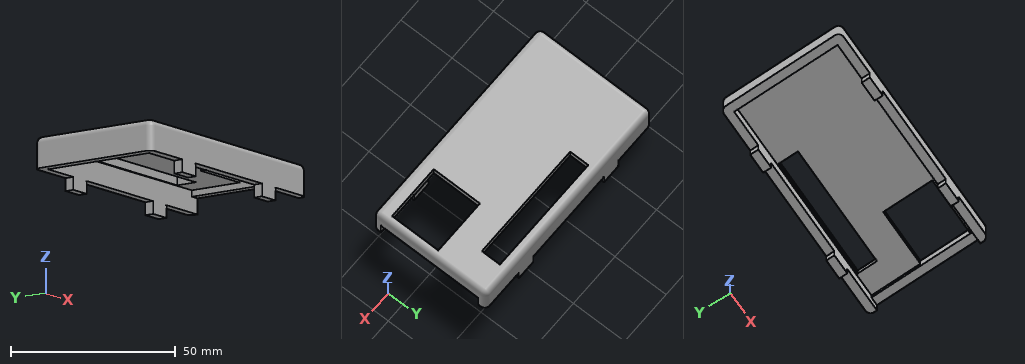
import cadquery as cq

length = 80.0
width = 44.0
body_height = 10.0
edge_radius = 2.0

wall = 3.0
roof = 3.0
inner_length = length - 2 * wall
inner_width = width - 2 * wall

foot_length = 7.0
foot_height = 4.0
foot_spacing = 41.0

slot_length = 42.5
slot_width = 7.0
slot_center_x = 7.6
slot_edge_gap = 3.5

window_length = 20.0
window_width = 18.0
window_edge_gap = 5.0

side_opening_height = 5.0


def block(x_min, y_min, z_min, x_size, y_size, z_size):
    """Box placed by its lowest corner."""
    box = cq.Workplane("XY").box(x_size, y_size, z_size, centered=False)
    return box.translate((x_min, y_min, z_min))


def make_shell():
    centered = (True, True, False)
    shell = cq.Workplane("XY").box(length, width, body_height, centered=centered)
    shell = shell.edges("|Z").fillet(edge_radius)
    shell = shell.faces(">Z").edges().fillet(edge_radius)
    cavity = cq.Workplane("XY").box(inner_length, inner_width, body_height - roof, centered=centered)
    return shell.cut(cavity)


def make_slot():
    x_min = slot_center_x - slot_length / 2
    y_min = width / 2 - slot_edge_gap - slot_width
    return block(x_min, y_min, body_height - roof, slot_length, slot_width, roof)


def make_window():
    x_min = inner_length / 2 - window_length
    y_min = -width / 2 + window_edge_gap
    return block(x_min, y_min, body_height - roof, window_length, window_width, roof)


def make_side_opening():
    return block(inner_length / 2, -inner_width / 2, 0, wall, inner_width, side_opening_height)


def add_feet(body):
    for center_x in (-foot_spacing / 2, foot_spacing / 2):
        for y_min in (-width / 2, inner_width / 2):
            x_min = center_x - foot_length / 2
            body = body.union(block(x_min, y_min, -foot_height, foot_length, wall, foot_height))
    return body


cover = make_shell()
cover = cover.cut(make_slot())
cover = cover.cut(make_window())
cover = cover.cut(make_side_opening())
result = add_feet(cover)